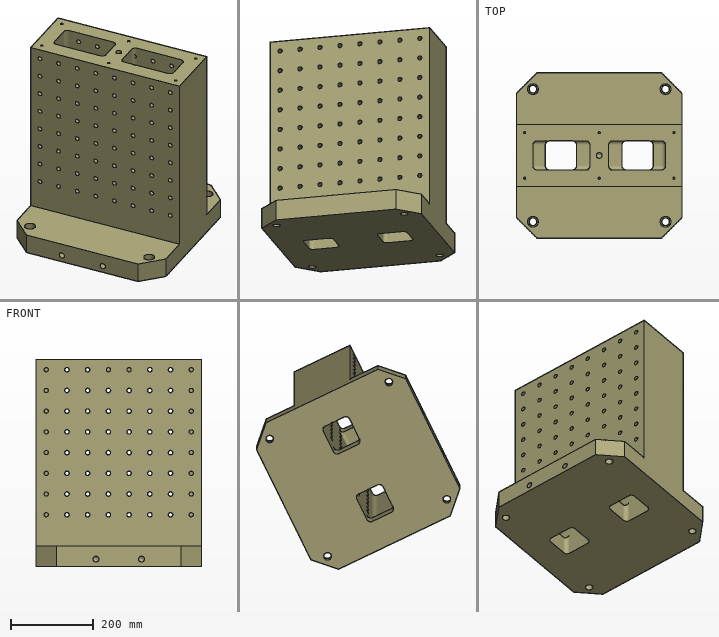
import cadquery as cq
import math

base_side = 400
base_thickness = 50
corner_cut = 50

total_height = 500
tower_depth = 150

wall_thickness = 40
end_wall_thickness = 40
cap_thickness = 45
web_width = 45
cavity_length = base_side - 2 * end_wall_thickness
cavity_depth = tower_depth - 2 * wall_thickness
cavity_top = total_height - cap_thickness
cavity_radius = 10
pocket_length = (cavity_length - web_width) / 2
pocket_center_x = (web_width + pocket_length) / 2

floor_opening_length = 75
floor_opening_center_x = 92.5

grid_pitch = 50
grid_columns = 8
grid_rows = 8
grid_hole_diameter = 10.2
grid_top_z = total_height - grid_pitch / 2
grid_hole_depth = wall_thickness

mount_hole_offset = 160
mount_hole_diameter = 18
counterbore_diameter = 26
counterbore_depth = 30

lifting_hole_diameter = 14
lifting_hole_depth = 30
front_lifting_x = 55
front_lifting_z = 18

drill_tip_angle = 118

cover_hole_diameter = 5
cover_hole_depth = 15
cover_hole_x = 180
cover_hole_y = 55


def make_body():
    base = (
        cq.Workplane("XY")
        .rect(base_side, base_side)
        .extrude(base_thickness)
        .edges("|Z")
        .chamfer(corner_cut)
    )
    tower = cq.Workplane("XY").rect(base_side, tower_depth).extrude(total_height)
    return base.union(tower)


def make_cavity():
    """Round-edged chamber under the cap, with two openings up and two openings down."""
    chamber_height = cavity_top - base_thickness
    chamber = (
        cq.Workplane("XY")
        .workplane(offset=base_thickness)
        .rect(cavity_length, cavity_depth)
        .extrude(chamber_height)
        .edges()
        .fillet(cavity_radius)
    )
    middle_z = base_thickness + chamber_height / 2
    top_openings = (
        cq.Workplane("XY")
        .workplane(offset=middle_z)
        .pushPoints([(-pocket_center_x, 0), (pocket_center_x, 0)])
        .rect(pocket_length, cavity_depth)
        .extrude(total_height - middle_z)
        .edges("|Z")
        .fillet(cavity_radius)
    )
    floor_openings = (
        cq.Workplane("XY")
        .pushPoints([(-floor_opening_center_x, 0), (floor_opening_center_x, 0)])
        .rect(floor_opening_length, cavity_depth)
        .extrude(middle_z)
        .edges("|Z")
        .fillet(cavity_radius)
    )
    return chamber.union(top_openings).union(floor_openings)


def drilled_hole(diameter, depth, start, direction):
    """Blind hole whose full-diameter depth is followed by a drill-point cone."""
    radius = diameter / 2
    tip_length = radius / math.tan(math.radians(drill_tip_angle / 2))
    base_point = cq.Vector(*start)
    axis = cq.Vector(*direction)
    barrel = cq.Solid.makeCylinder(radius, depth, base_point, axis)
    tip = cq.Solid.makeCone(radius, 0, tip_length, base_point + axis * depth, axis)
    return cq.Workplane(barrel.fuse(tip))


def cut_grid_holes(body):
    """Flat-bottomed holes from both faces; those over the cavity break through its wall."""
    grid_middle_z = grid_top_z - (grid_rows - 1) * grid_pitch / 2
    back_holes = (
        cq.Workplane("XZ", origin=(0, tower_depth / 2, grid_middle_z))
        .rarray(grid_pitch, grid_pitch, grid_columns, grid_rows)
        .circle(grid_hole_diameter / 2)
        .extrude(grid_hole_depth)
    )
    front_holes = back_holes.mirror("XZ")
    return body.cut(back_holes).cut(front_holes)


def mounting_cylinders(diameter, bottom_z):
    """Four cylinders at the mounting positions, from bottom_z up to the base's top face."""
    spacing = 2 * mount_hole_offset
    return (
        cq.Workplane("XY")
        .workplane(offset=bottom_z)
        .rarray(spacing, spacing, 2, 2)
        .circle(diameter / 2)
        .extrude(base_thickness - bottom_z)
    )


def cut_mounting_holes(body):
    through_holes = mounting_cylinders(mount_hole_diameter, 0)
    counterbores = mounting_cylinders(counterbore_diameter, base_thickness - counterbore_depth)
    return body.cut(through_holes).cut(counterbores)


def cut_lifting_holes(body):
    """One hole down into the middle of the cap and two into the front edge of the base."""
    down = (0, 0, -1)
    back = (0, 1, 0)
    holes = [((0, 0, total_height), down)]
    for x in (-front_lifting_x, front_lifting_x):
        holes.append(((x, -base_side / 2, front_lifting_z), back))
    for start, direction in holes:
        body = body.cut(drilled_hole(lifting_hole_diameter, lifting_hole_depth, start, direction))
    return body


def cut_cover_holes(body):
    """Two rows of three screw holes around the openings in the top face."""
    for x in (-cover_hole_x, 0, cover_hole_x):
        for y in (-cover_hole_y, cover_hole_y):
            start = (x, y, total_height)
            body = body.cut(drilled_hole(cover_hole_diameter, cover_hole_depth, start, (0, 0, -1)))
    return body


body = make_body().cut(make_cavity())
body = cut_grid_holes(body)
body = cut_mounting_holes(body)
body = cut_lifting_holes(body)
result = cut_cover_holes(body)